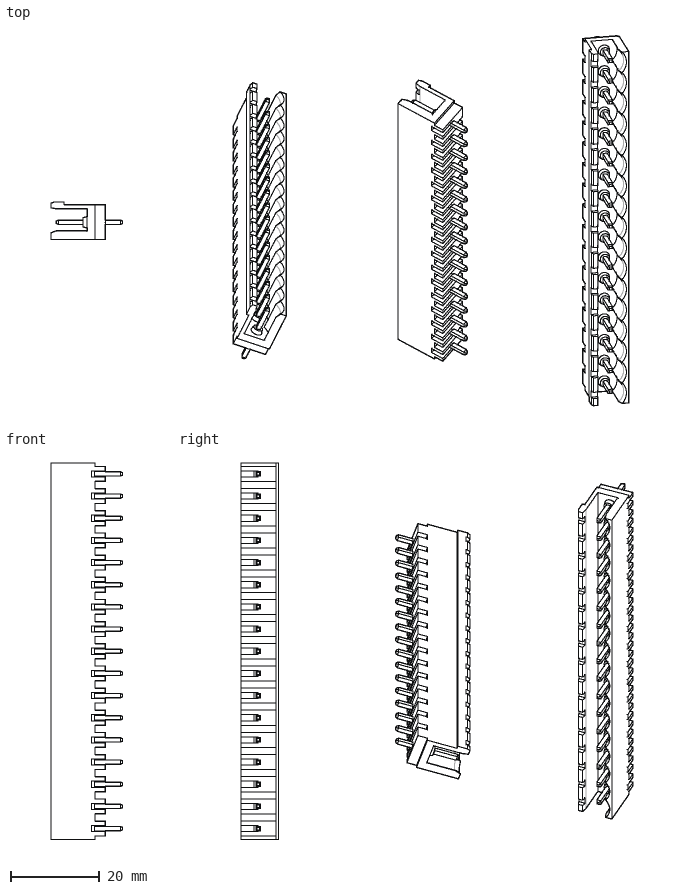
import cadquery as cq


pin_count = 17
pitch = 5.0
length = pin_count * pitch

housing_depth = 10.0
housing_height = 7.9
cavity_floor_x = 8.2
upper_wall = 1.0
upper_wall_inside = housing_height - upper_wall
mouth_bevel_length = 1.3

overall_height = 8.5
lip_end_x = 3.0
lip_bevel_length = 0.75
lip_bevel_drop = 0.3
upper_mouth_bevel = 0.25
lip_notch_depth = 1.0
lip_notch_width = 1.5

pin_y = 3.9
hollow_axis_y = 4.2
hollow_radius = 3.3
hollow_mouth_radius = 3.65

foot_end_x = 12.3
foot_width = 3.4
slot_width = 1.4
slot_start_x = 9.2
slot_step_x = 9.8
slot_shallow_depth = 3.0

pin_size = 1.0
pin_start_x = 1.2
pin_end_x = 16.2
pin_taper_length = 0.5
pin_tip_size = 0.55
collar_start_x = 7.2
collar_tip_radius = 1.05
collar_base_radius = 1.3

pin_heights = [pitch * (index + 0.5) for index in range(pin_count)]


def box(x_range, y_range, z_range):
    """Box between the given limits."""
    (x0, x1), (y0, y1), (z0, z1) = x_range, y_range, z_range
    return cq.Workplane("XY").box(x1 - x0, y1 - y0, z1 - z0, centered=False).translate((x0, y0, z0))


def centred(middle, width):
    """Limits of a width centred on a middle value."""
    return (middle - width / 2, middle + width / 2)


def along_x(x, y, z):
    """Workplane facing +X with its origin at the given point."""
    return cq.Workplane("YZ", origin=(x, y, z))


def cone(x0, radius0, x1, radius1, y, z):
    """Cone along X at the given Y and Z, with a given radius at each end."""
    return along_x(x0, y, z).circle(radius0).workplane(offset=x1 - x0).circle(radius1).loft()


def make_housing():
    """Back and two walls; the lower wall is solid up to the pin axis until it is hollowed."""
    outline = [
        (0, 0),
        (housing_depth, 0),
        (housing_depth, housing_height),
        (lip_end_x, housing_height),
        (lip_end_x, overall_height),
        (lip_bevel_length, overall_height),
        (0, overall_height - lip_bevel_drop),
        (0, upper_wall_inside + upper_mouth_bevel),
        (mouth_bevel_length, upper_wall_inside),
        (cavity_floor_x, upper_wall_inside),
        (cavity_floor_x, pin_y),
        (0, pin_y),
    ]
    return cq.Workplane("XY").polyline(outline).close().extrude(length)


def make_hollow(z):
    """Round hollow beside a pin, flared at the mouth and limited to the lower half of the cavity."""
    bore = along_x(0, hollow_axis_y, z).circle(hollow_radius).extrude(cavity_floor_x)
    flare = cone(0, hollow_mouth_radius, mouth_bevel_length, hollow_radius, hollow_axis_y, z)
    limit = box((0, cavity_floor_x), (0, pin_y), centred(z, pitch))
    return bore.union(flare).intersect(limit)


def make_lip_notch(z):
    """Notch through the mouth of the upper wall."""
    return box((0, lip_notch_depth), (pin_y, overall_height), centred(z, lip_notch_width))


def make_foot(z):
    """Foot across the back of the housing."""
    return box((housing_depth, foot_end_x), (0, housing_height), centred(z, foot_width))


def make_slot(z):
    """Slot reaching the pin, shallower at its inner end."""
    z_range = centred(z, slot_width)
    shallow = box((slot_start_x, slot_step_x), (0, slot_shallow_depth), z_range)
    deep = box((slot_step_x, foot_end_x), (0, pin_y), z_range)
    return shallow.union(deep)


def make_pin_taper(x, direction, z):
    """Tapered pin end that starts at x and points along the given X direction."""
    start = along_x(x, pin_y, z).rect(pin_size, pin_size)
    return start.workplane(offset=direction * pin_taper_length).rect(pin_tip_size, pin_tip_size).loft()


def make_pin(z):
    """Square pin with both ends tapered, standing in a conical collar."""
    shank_start = pin_start_x + pin_taper_length
    shank_end = pin_end_x - pin_taper_length
    shank = along_x(shank_start, pin_y, z).rect(pin_size, pin_size).extrude(shank_end - shank_start)
    collar = cone(collar_start_x, collar_tip_radius, cavity_floor_x, collar_base_radius, pin_y, z)
    pin = shank.union(make_pin_taper(shank_start, -1, z))
    pin = pin.union(make_pin_taper(shank_end, 1, z))
    return pin.union(collar)


result = make_housing()
for height in pin_heights:
    result = result.cut(make_hollow(height))
    result = result.cut(make_lip_notch(height))
    result = result.union(make_foot(height))
    result = result.cut(make_slot(height))
    result = result.union(make_pin(height))